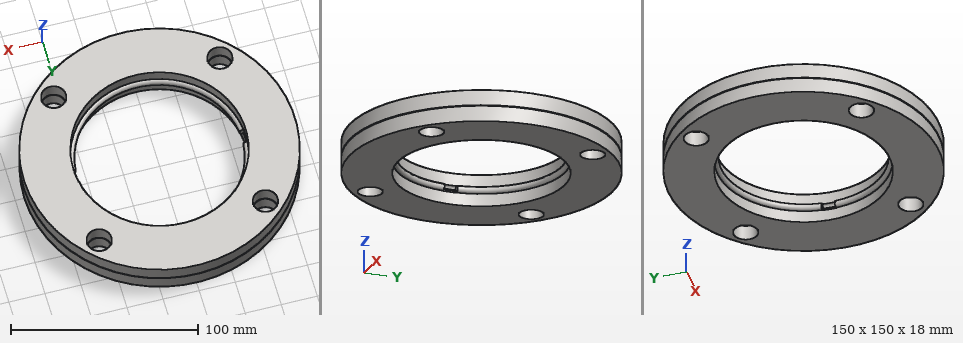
import cadquery as cq

outer_diameter = 150.0
thickness = 18.0
bore_diameter = 95.4

bolt_hole_diameter = 13.5
bolt_spacing = 92.1

parting_gap = 0.5

wire_diameter = 3.9
ring_inner_diameter = 90.9
ring_split = 7.6

ring_center_radius = (ring_inner_diameter + wire_diameter) / 2
plate_thickness = (thickness - parting_gap) / 2


def make_plate(bottom):
    """Annular plate with four bolt holes, rising from the given height."""
    return (
        cq.Workplane("XY", origin=(0, 0, bottom))
        .circle(outer_diameter / 2)
        .circle(bore_diameter / 2)
        .rect(bolt_spacing, bolt_spacing, forConstruction=True)
        .vertices()
        .circle(bolt_hole_diameter / 2)
        .extrude(plate_thickness)
    )


def make_wire_torus():
    """Full round-wire torus around the flange axis at mid thickness."""
    return cq.Workplane(cq.Solid.makeTorus(ring_center_radius, wire_diameter / 2))


def make_split_ring():
    """Wire ring parted at both ends of the X axis by flat cuts."""
    splitter = cq.Workplane("XY").box(outer_diameter, ring_split, thickness)
    return make_wire_torus().cut(splitter)


lower_plate = make_plate(-thickness / 2)
upper_plate = make_plate(parting_gap / 2)
grooved_plates = lower_plate.union(upper_plate).cut(make_wire_torus())

result = grooved_plates.union(make_split_ring())